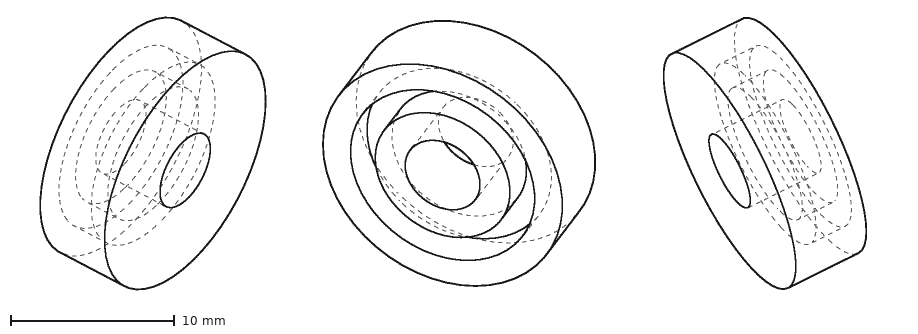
import cadquery as cq

outer_diameter = 16.0
bore_diameter = 5.0
width = 5.0

inner_race_diameter = 9.0
outer_race_diameter = 12.3
recess_depth = width / 2


def ring_from_front_face(outside_diameter, inside_diameter, length):
    """Ring around the X axis that runs from the -X face towards +X."""
    return (
        cq.Workplane("YZ", origin=(-width / 2, 0, 0))
        .circle(outside_diameter / 2)
        .circle(inside_diameter / 2)
        .extrude(length)
    )


body = ring_from_front_face(outer_diameter, bore_diameter, width)
recess = ring_from_front_face(outer_race_diameter, inner_race_diameter, recess_depth)

result = body.cut(recess)